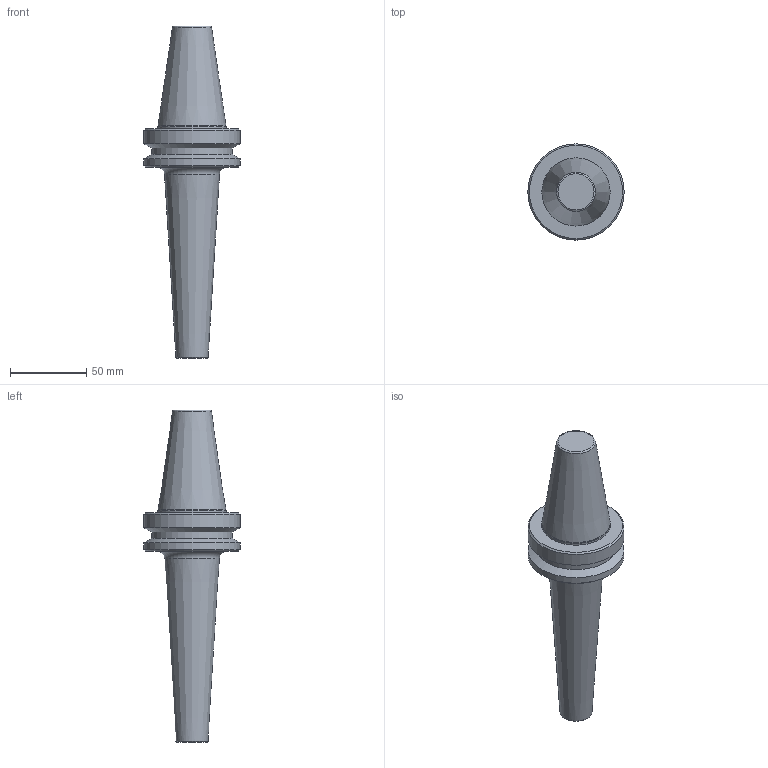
import cadquery as cq
import math


GAUGE_RADIUS = 44.45 / 2
SHANK_LENGTH = 65.4
SHANK_SLOPE = 7 / 24 / 2
SHANK_TIP_FILLET = 1.0

COLLAR_RADIUS = 22.35
COLLAR_CONE_HEIGHT = 0.6

FLANGE_RADIUS = 63.0 / 2
FLANGE_TOP = -2.0
FLANGE_BOTTOM = -27.0
FLANGE_CHAMFER = 1.0
GROOVE_CENTRE = -16.6
GROOVE_WIDTH = 10.0
GROOVE_FLOOR_RADIUS = 53.0 / 2
GROOVE_WALL_ANGLE = 30.0

NOSE_BOTTOM = -152.0
NOSE_ROOT_RADIUS = 18.0
NOSE_TIP_RADIUS = 10.5
NOSE_TIP_CHAMFER = 0.5
ROOT_FILLET = 5.0


def shank_radius(z):
    """Radius of the steep taper at height z."""
    return GAUGE_RADIUS - SHANK_SLOPE * z


def half_profile():
    """Closed outline from the axis out, in the (radius, z) plane."""
    groove_top = GROOVE_CENTRE + GROOVE_WIDTH / 2
    groove_bottom = GROOVE_CENTRE - GROOVE_WIDTH / 2
    groove_depth = FLANGE_RADIUS - GROOVE_FLOOR_RADIUS
    wall_drop = groove_depth * math.tan(math.radians(GROOVE_WALL_ANGLE))
    flange_face_radius = FLANGE_RADIUS - FLANGE_CHAMFER

    arc_reach = ROOT_FILLET * (1 - math.sqrt(0.5))
    fillet_start = (NOSE_ROOT_RADIUS + ROOT_FILLET, FLANGE_BOTTOM)
    fillet_middle = (NOSE_ROOT_RADIUS + arc_reach, FLANGE_BOTTOM - arc_reach)
    fillet_end = (NOSE_ROOT_RADIUS, FLANGE_BOTTOM - ROOT_FILLET)

    return (
        cq.Workplane("XZ")
        .moveTo(0, SHANK_LENGTH)
        .lineTo(shank_radius(SHANK_LENGTH), SHANK_LENGTH)
        .lineTo(GAUGE_RADIUS, 0)
        .lineTo(COLLAR_RADIUS, -COLLAR_CONE_HEIGHT)
        .lineTo(COLLAR_RADIUS, FLANGE_TOP)
        .lineTo(flange_face_radius, FLANGE_TOP)
        .lineTo(FLANGE_RADIUS, FLANGE_TOP - FLANGE_CHAMFER)
        .lineTo(FLANGE_RADIUS, groove_top)
        .lineTo(GROOVE_FLOOR_RADIUS, groove_top - wall_drop)
        .lineTo(GROOVE_FLOOR_RADIUS, groove_bottom + wall_drop)
        .lineTo(FLANGE_RADIUS, groove_bottom)
        .lineTo(FLANGE_RADIUS, FLANGE_BOTTOM + FLANGE_CHAMFER)
        .lineTo(flange_face_radius, FLANGE_BOTTOM)
        .lineTo(*fillet_start)
        .threePointArc(fillet_middle, fillet_end)
        .lineTo(NOSE_TIP_RADIUS, NOSE_BOTTOM + NOSE_TIP_CHAMFER)
        .lineTo(NOSE_TIP_RADIUS - NOSE_TIP_CHAMFER, NOSE_BOTTOM)
        .lineTo(0, NOSE_BOTTOM)
        .close()
    )


holder = half_profile().revolve(360, (0, 0, 0), (0, 1, 0))
result = holder.faces(">Z").edges().fillet(SHANK_TIP_FILLET)